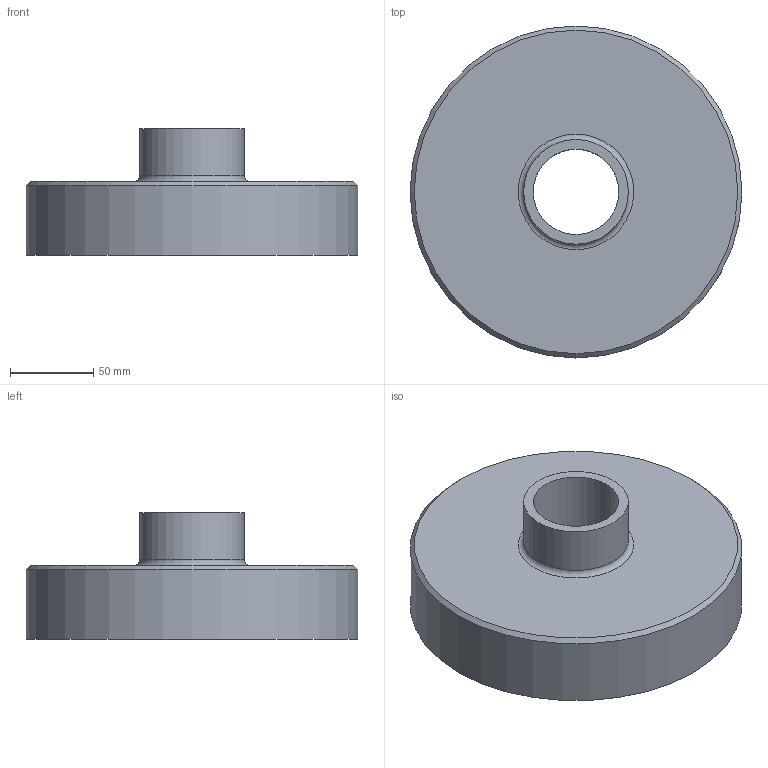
import cadquery as cq

disc_diameter = 199.9
disc_height = 44.45
disc_chamfer = 2.54
hub_diameter = 62.99
overall_height = 76.2
hub_fillet = 3.3
bore_diameter = 51.41

disc_radius = disc_diameter / 2
hub_radius = hub_diameter / 2
bore_radius = bore_diameter / 2


def flanged_hub():
    """Revolve the bored half section of the disc and hub about the Z axis."""
    half_section = (
        cq.Workplane("XZ")
        .moveTo(bore_radius, 0)
        .lineTo(disc_radius, 0)
        .lineTo(disc_radius, disc_height - disc_chamfer)
        .lineTo(disc_radius - disc_chamfer, disc_height)
        .lineTo(hub_radius + hub_fillet, disc_height)
        .radiusArc((hub_radius, disc_height + hub_fillet), hub_fillet)
        .lineTo(hub_radius, overall_height)
        .lineTo(bore_radius, overall_height)
        .close()
    )
    return half_section.revolve(360, (0, 0, 0), (0, 1, 0))


result = flanged_hub()